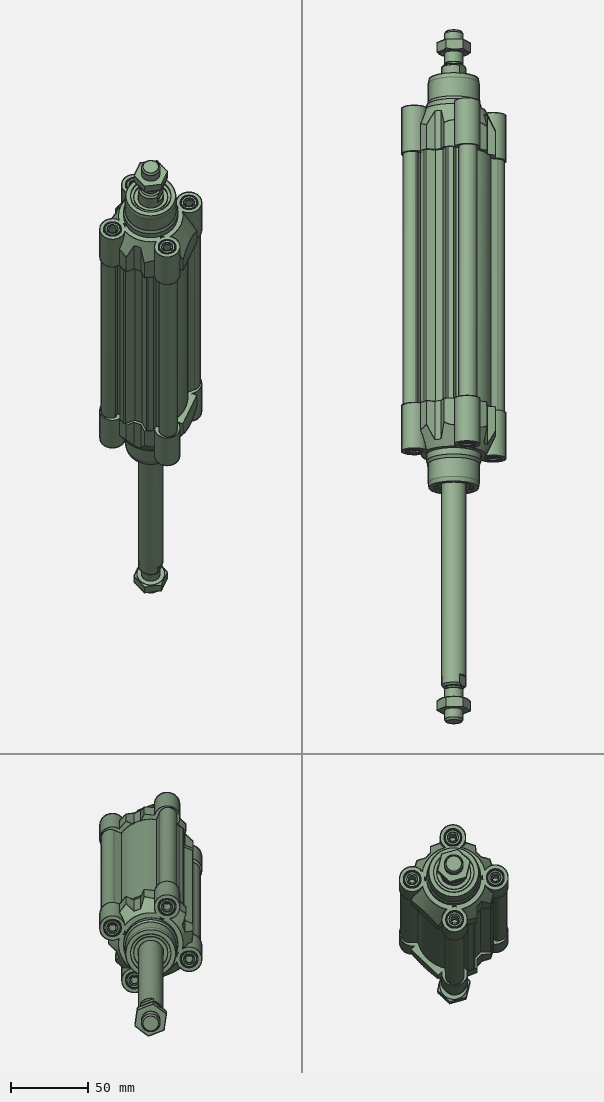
import cadquery as cq
import math


stroke = 125.0
body_length = 105.0 + stroke
cap_length = 30.5
neck_length = 22.0
thread_length = 23.0
shoulder_offset = 31.0
cap_face_z = body_length / 2
barrel_half = cap_face_z - cap_length
shoulder_top_z = cap_face_z + shoulder_offset
shoulder_bottom_z = -cap_face_z - shoulder_offset - stroke

bore_diameter = 40.0
tube_radius = 24.0
barrel_width = 52.0
lobe_radius = 6.0
lobe_centre = barrel_width / 2 - lobe_radius
barrel_rib_crest = barrel_width / 2
barrel_rib_crest_start = 7.3
barrel_rib_crest_end = 8.6
barrel_rib_outer = 11.8
barrel_slot_outer = 15.0
barrel_slot_floor = 20.4
barrel_groove_floor_half = 2.6
barrel_groove_floor = 21.3
rib_slope = math.tan(math.radians(28))

cap_width = 54.5
boss_spacing = 38.0
boss_radius = (cap_width - boss_spacing) / 2
cap_rib_tip = (6.3, 27.0)
cap_rib_end = 12.3
cap_groove_floor_half = 2.3
cap_groove_floor = 23.0
cap_cone_face_radius = 20.8
cap_cone_outer_radius = 39.0
cap_cone_slope = 2.1
collar_diameter = 35.0
collar_length = 4.3
collar_taper_length = 2.0
neck_diameter = 33.0
neck_chamfer_radial = 0.5
neck_chamfer_length = 3.0
neck_recess_diameter = 26.0
neck_recess_depth = 1.0
wiper_seat_diameter = 22.0
wiper_seat_depth = 2.0
wiper_bore_diameter = 16.6
wiper_bore_depth = 5.0

screw_recess_diameter = 11.45
screw_recess_depth = 2.0
screw_head_diameter = 9.9
screw_socket_diameter = 7.0
screw_socket_depth = 1.0
screw_thread_diameter = 4.92
screw_thread_depth = 15.0

rod_diameter = 16.0
rod_flats_width = 13.0
rod_flats_length = 7.0
rod_edge_chamfer = 1.3
thread_diameter = 12.0
thread_chamfer = 1.0
thread_chamfer_length = 1.5
relief_diameter = 10.3
relief_length = 1.5
nut_width = 19.0
nut_height = 7.0
nut_tip_offset = 7.5
nut_chamfer_diameter = 18.0
nut_chamfer_height = 0.9


def cylinder(diameter, z_start, length):
    return cq.Workplane("XY").workplane(offset=z_start).circle(diameter / 2).extrude(length)


def revolve_profile(points):
    """Turn a closed outline of (radius, z) points about the Z axis."""
    return cq.Workplane("XZ").polyline(points).close().revolve(360, (0, 0, 0), (0, 1, 0))


def rotated(shape, angle):
    return shape.rotate((0, 0, 0), (0, 0, 1), angle)


def mirrored_outline(right_half):
    """Complete a side outline given as (across, outward) points from its centre to its right end."""
    return right_half + [(-across, outward) for across, outward in reversed(right_half)]


def corner_lobe(length):
    """Rounded lobe on the +X diagonal, with flanks parallel to it that run into the tube."""
    diagonal = lobe_centre * math.sqrt(2)
    web = (
        cq.Workplane("XY")
        .center(diagonal / 2, 0)
        .rect(diagonal, 2 * lobe_radius)
        .extrude(length)
    )
    tip = cq.Workplane("XY").center(diagonal, 0).circle(lobe_radius).extrude(length)
    return web.union(tip)


def barrel_ribs(length):
    """Pair of ribs on the +Y side, standing on the tube."""
    outer_y = barrel_rib_crest - (barrel_rib_outer - barrel_rib_crest_end) * rib_slope
    outline = mirrored_outline([
        (barrel_rib_crest_end, barrel_rib_crest),
        (barrel_rib_outer, outer_y),
        (barrel_rib_outer, 0),
    ])
    return cq.Workplane("XY").polyline(outline).close().extrude(length)


def barrel_grooves(length):
    """V groove between the ribs on the +Y side and a slot between each rib and its lobe."""
    v_outline = mirrored_outline([
        (barrel_groove_floor_half, barrel_groove_floor),
        (barrel_rib_crest_start, barrel_rib_crest),
    ])
    grooves = cq.Workplane("XY").polyline(v_outline).close().extrude(length)
    slot_width = barrel_slot_outer - barrel_rib_outer
    slot_height = barrel_width / 2 - barrel_slot_floor
    for side in (-1, 1):
        slot = (
            cq.Workplane("XY")
            .center(side * (barrel_rib_outer + slot_width / 2), barrel_slot_floor + slot_height / 2)
            .rect(slot_width, slot_height)
            .extrude(length)
        )
        grooves = grooves.union(slot)
    return grooves


def make_barrel():
    length = 2 * barrel_half
    body = cylinder(2 * tube_radius, 0, length)
    for angle in (45, 135, 225, 315):
        body = body.union(rotated(corner_lobe(length), angle))
    for angle in (0, 180):
        body = body.union(rotated(barrel_ribs(length), angle))
        body = body.cut(rotated(barrel_grooves(length), angle))
    body = body.cut(cylinder(bore_diameter, 0, length))
    return body.translate((0, 0, -barrel_half))


def cap_side(outline):
    return cq.Workplane("XY").workplane(offset=barrel_half).polyline(outline).close().extrude(cap_length)


def ribbed_side():
    """Side sector on +Y with two ribs and a V groove."""
    tip_x, tip_y = cap_rib_tip
    end_y = tip_y - (cap_rib_end - tip_x) * rib_slope
    return cap_side(mirrored_outline([
        (cap_groove_floor_half, cap_groove_floor),
        (tip_x, tip_y),
        (cap_rib_end, end_y),
        (cap_rib_end, 0),
    ]))


def plain_side():
    """Flat side sector on +Y, without a groove."""
    flat_y = cap_width / 2
    return cap_side(mirrored_outline([(cap_rib_end, flat_y), (cap_rib_end, 0)]))


def cap_cone():
    """Cone that slopes the cap sides back from the end face."""
    drop = (cap_cone_outer_radius - cap_cone_face_radius) * cap_cone_slope
    return revolve_profile([
        (0, cap_face_z),
        (cap_cone_face_radius, cap_face_z),
        (cap_cone_outer_radius, cap_face_z - drop),
        (0, cap_face_z - drop),
    ])


def cap_neck():
    base = cap_face_z
    collar_top = base + collar_length
    taper_top = collar_top + collar_taper_length
    neck_top = base + neck_length
    neck_radius = neck_diameter / 2
    return revolve_profile([
        (0, base),
        (collar_diameter / 2, base),
        (collar_diameter / 2, collar_top),
        (neck_radius, taper_top),
        (neck_radius, neck_top - neck_chamfer_length),
        (neck_radius - neck_chamfer_radial, neck_top),
        (0, neck_top),
    ])


def screw_cut():
    """Recess round a screw head and the threaded hole in the head."""
    recess = cylinder(screw_recess_diameter, cap_face_z - screw_recess_depth, screw_recess_depth)
    head = cylinder(screw_head_diameter, cap_face_z - screw_recess_depth, screw_recess_depth)
    socket = cylinder(screw_socket_diameter, cap_face_z - screw_socket_depth, screw_socket_depth)
    thread = cylinder(screw_thread_diameter, cap_face_z - screw_thread_depth, screw_thread_depth)
    return recess.cut(head).union(socket).union(thread)


def make_top_cap():
    sides = ribbed_side()
    for angle in (90, 180):
        sides = sides.union(rotated(ribbed_side(), angle))
    sides = sides.union(rotated(plain_side(), -90))
    cap = sides.intersect(cap_cone())
    for x_sign in (-1, 1):
        for y_sign in (-1, 1):
            place = (x_sign * boss_spacing / 2, y_sign * boss_spacing / 2, 0)
            boss = cylinder(2 * boss_radius, barrel_half, cap_length).translate(place)
            cap = cap.union(boss).cut(screw_cut().translate(place))
    cap = cap.union(cap_neck())
    neck_top = cap_face_z + neck_length
    cap = cap.cut(cylinder(neck_recess_diameter, neck_top - neck_recess_depth, neck_recess_depth))
    cap = cap.cut(cylinder(wiper_seat_diameter, neck_top - wiper_seat_depth, wiper_seat_depth))
    cap = cap.cut(cylinder(wiper_bore_diameter, neck_top - wiper_bore_depth, wiper_bore_depth))
    return cap.cut(cylinder(rod_diameter, barrel_half, neck_top - barrel_half))


def rod_end(shoulder_z):
    """Upward half of the rod: shank from the origin, key flats, relief and threaded end."""
    thread_start = shoulder_z + relief_length
    tip_z = shoulder_z + thread_length
    shank_radius = rod_diameter / 2
    thread_radius = thread_diameter / 2
    turned = revolve_profile([
        (0, 0),
        (shank_radius, 0),
        (shank_radius, shoulder_z - rod_edge_chamfer),
        (shank_radius - rod_edge_chamfer, shoulder_z),
        (relief_diameter / 2, shoulder_z),
        (relief_diameter / 2, thread_start),
        (thread_radius, thread_start),
        (thread_radius, tip_z - thread_chamfer_length),
        (thread_radius - thread_chamfer, tip_z),
        (0, tip_z),
    ])
    flat_depth = (rod_diameter - rod_flats_width) / 2
    for side in (-1, 1):
        flat = (
            cq.Workplane("XY")
            .box(flat_depth, rod_diameter, rod_flats_length)
            .translate((
                side * (rod_flats_width + flat_depth) / 2,
                0,
                shoulder_z - rod_flats_length / 2,
            ))
        )
        turned = turned.cut(flat)
    return turned


def flipped(shape):
    return shape.mirror("XY")


def make_nut(tip_z):
    """Hexagon nut on the upper thread, chamfered on the side facing the cap."""
    bottom = tip_z - nut_tip_offset - nut_height
    corner_radius = nut_width / math.sqrt(3)
    hexagon = (
        cq.Workplane("XY")
        .workplane(offset=bottom)
        .polygon(6, 2 * corner_radius)
        .extrude(nut_height)
    )
    envelope = revolve_profile([
        (0, bottom),
        (nut_chamfer_diameter / 2, bottom),
        (corner_radius, bottom + nut_chamfer_height),
        (corner_radius, bottom + nut_height),
        (0, bottom + nut_height),
    ])
    nut = rotated(hexagon, 90).intersect(envelope)
    return nut.cut(cylinder(thread_diameter, bottom, nut_height))


barrel = make_barrel()
top_cap = make_top_cap()
bottom_cap = flipped(top_cap)
rod = rod_end(shoulder_top_z).union(flipped(rod_end(-shoulder_bottom_z)))
top_nut = make_nut(shoulder_top_z + thread_length)
bottom_nut = flipped(make_nut(-shoulder_bottom_z + thread_length))

bodies = [barrel, top_cap, bottom_cap, rod, top_nut, bottom_nut]
result = cq.Compound.makeCompound([body.val() for body in bodies])